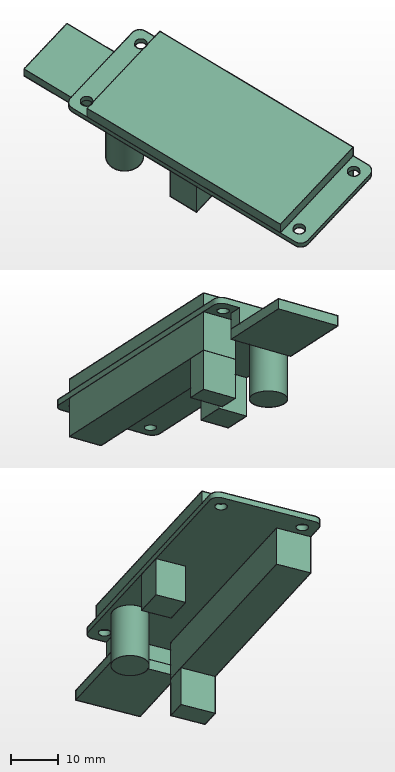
import cadquery as cq

TOTAL_LENGTH = 77.25

BOARD_START = 14.75
BOARD_WIDTH = 25.5
BOARD_THICKNESS = 1.4
BOARD_CORNER_RADIUS = 1.9
HOLE_DIAMETER = 2.6
HOLE_INSET = 3.25
FOOT_LENGTH = 3.2
FOOT_HEIGHT = 3.7

TONGUE_WIDTH = 15.1
TONGUE_THICKNESS = 2.4

DISPLAY_START = 20.55
DISPLAY_LENGTH = 50.9
DISPLAY_THICKNESS = 3.0

RAIL_WIDTH = 8.0
RAIL_HEIGHT = 8.95
POST_LENGTH = 4.95
POST_HEIGHT = 9.1
BLOCK_START = 42.4
BLOCK_LENGTH = 6.95
BLOCK_WIDTH = 6.95
CYLINDER_DIAMETER = 8.0
CYLINDER_HEIGHT = 12.5
CYLINDER_X = 26.7
CYLINDER_Y = -7.8

BOARD_LENGTH = TOTAL_LENGTH - BOARD_START
BOARD_CENTER_X = BOARD_START + BOARD_LENGTH / 2
BOARD_BOTTOM = -BOARD_THICKNESS
FOOT_BOTTOM = BOARD_BOTTOM - FOOT_HEIGHT
RAIL_BOTTOM = BOARD_BOTTOM - RAIL_HEIGHT
FRONT_EDGE = -BOARD_WIDTH / 2
RAIL_FRONT = BOARD_WIDTH / 2 - RAIL_WIDTH


def box_at(x, y, z, length, width, height):
    """Box whose lowest X, Y and Z corner is at (x, y, z)."""
    return cq.Workplane("XY").box(length, width, height, centered=False).translate((x, y, z))


def make_board():
    """Rounded board with four corner holes, in one piece with the foot."""
    plate = box_at(BOARD_START, FRONT_EDGE, BOARD_BOTTOM, BOARD_LENGTH, BOARD_WIDTH, BOARD_THICKNESS)
    plate = plate.edges("|Z").fillet(BOARD_CORNER_RADIUS)
    holes = (
        cq.Workplane("XY", origin=(BOARD_CENTER_X, 0, BOARD_BOTTOM))
        .rect(BOARD_LENGTH - 2 * HOLE_INSET, BOARD_WIDTH - 2 * HOLE_INSET, forConstruction=True)
        .vertices()
        .circle(HOLE_DIAMETER / 2)
        .extrude(BOARD_THICKNESS)
    )
    foot = box_at(BOARD_START, -TONGUE_WIDTH / 2, FOOT_BOTTOM, FOOT_LENGTH, TONGUE_WIDTH, FOOT_HEIGHT)
    return plate.cut(holes).union(foot).solids()


def make_tongue():
    """Flat tongue that ends flush with the inner face of the foot."""
    length = BOARD_START + FOOT_LENGTH
    bottom = FOOT_BOTTOM - TONGUE_THICKNESS
    return box_at(0, -TONGUE_WIDTH / 2, bottom, length, TONGUE_WIDTH, TONGUE_THICKNESS)


def make_display():
    """Display slab across the full board width."""
    return box_at(DISPLAY_START, FRONT_EDGE, 0, DISPLAY_LENGTH, BOARD_WIDTH, DISPLAY_THICKNESS)


def make_rail():
    """Long rail below the rear edge, as long as the display."""
    return box_at(DISPLAY_START, RAIL_FRONT, RAIL_BOTTOM, DISPLAY_LENGTH, RAIL_WIDTH, RAIL_HEIGHT)


def make_post():
    """Short post hanging from the tongue end of the rail."""
    bottom = RAIL_BOTTOM - POST_HEIGHT
    return box_at(DISPLAY_START, RAIL_FRONT, bottom, POST_LENGTH, RAIL_WIDTH, POST_HEIGHT)


def make_block():
    """Block below the front edge, level with the rail."""
    return box_at(BLOCK_START, FRONT_EDGE, RAIL_BOTTOM, BLOCK_LENGTH, BLOCK_WIDTH, RAIL_HEIGHT)


def make_cylinder():
    """Upright cylinder hanging from the underside of the board."""
    return (
        cq.Workplane("XY", origin=(CYLINDER_X, CYLINDER_Y, BOARD_BOTTOM))
        .circle(CYLINDER_DIAMETER / 2)
        .extrude(-CYLINDER_HEIGHT)
    )


board = make_board()
tongue = make_tongue()
display = make_display()
rail = make_rail()
post = make_post()
block = make_block()
cylinder = make_cylinder()

result = cq.Compound.makeCompound([
    board.val(),
    tongue.val(),
    display.val(),
    rail.val(),
    post.val(),
    block.val(),
    cylinder.val(),
])